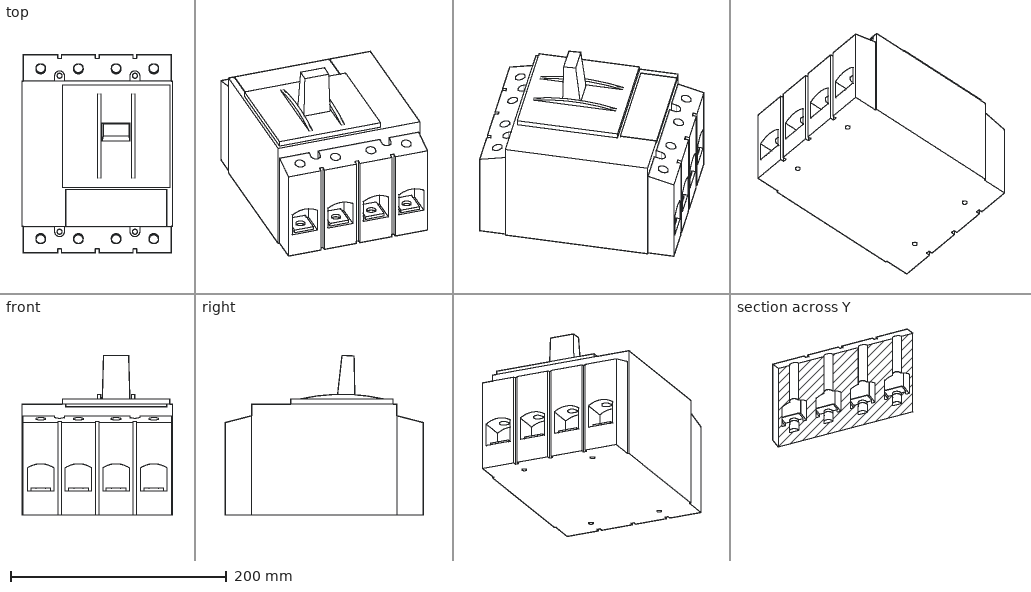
import cadquery as cq


case_width = 140.0
case_depth = 134.7
case_height = 103.0
overall_depth = 184.0
block_width = 137.3
block_inner_height = 92.2
block_outer_height = 86.0
block_ledge = 0.5

pole_count = 4
pole_pitch = 35.0
pole_centers = [(i - (pole_count - 1) / 2) * pole_pitch for i in range(pole_count)]
pole_boundaries = [(i - pole_count / 2) * pole_pitch for i in range(1, pole_count)]

slot_width = 3.3
slot_depth = 3.7

chamber_width = 24.7
chamber_floor = 22.5
chamber_spring = 43.8
chamber_crown = 47.7
chamber_depth = (overall_depth - case_depth) / 2
pad_width = 18.4
pad_height = 2.8
pad_inset = 2.8
pad_hole_diameter = 8.5
pad_hole_y = 79.5
pad_well_diameter = 9.0
pad_well_depth = 9.2

access_hole_diameter = 9.0
access_hole_y = 78.5

mount_recess_width = 9.0
mount_recess_floor = 73.6
mount_hole_diameter = 4.5
mount_y = 72.3
mount_boundaries = [pole_boundaries[0], pole_boundaries[-1]]

front_center_x = 17.5
cover_width = 99.7
cover_back_y = 63.8
cover_front_y = -31.1
cover_depth = cover_back_y - cover_front_y
cover_center_y = (cover_back_y + cover_front_y) / 2
cover_thickness = 4.8
cover_top = case_height + cover_thickness
rib_length = 78.0
rib_height = 4.5
rib_thickness = 3.3
rib_outer_span = 35.0
rib_offset = (rib_outer_span - rib_thickness) / 2

pocket_width = 94.2
pocket_back_y = -33.1
pocket_drop = 2.5
trip_clearance = 0.5
trip_width = pocket_width - 2 * trip_clearance
trip_thickness = pocket_drop - trip_clearance
pocket_length = pocket_back_y + case_depth / 2
pocket_center_y = pocket_back_y - pocket_length / 2

lever_top = 148.3
lever_top_back = 147.8
lever_base_width = 25.8
lever_top_width = 23.5
lever_base_back_y = 28.5
lever_base_front_y = 11.8
lever_top_back_y = 27.8
lever_top_front_y = 16.4


def box_on(width, depth, height, x, y, z):
    """Box centred on (x, y) with its bottom at z."""
    return cq.Workplane("XY").box(width, depth, height, centered=(True, True, False)).translate((x, y, z))


def cylinder_on(diameter, height, x, y, z):
    """Upright cylinder centred on (x, y) with its bottom at z."""
    return cq.Workplane("XY").circle(diameter / 2).extrude(height).translate((x, y, z))


def make_cable_chamber(x):
    """Cable chamber at the +Y end: an arched cavity around its floor pad."""
    half_width = chamber_width / 2
    cavity = (
        cq.Workplane("XZ", origin=(x, overall_depth / 2, 0))
        .moveTo(-half_width, chamber_floor)
        .lineTo(half_width, chamber_floor)
        .lineTo(half_width, chamber_spring)
        .threePointArc((0, chamber_crown), (-half_width, chamber_spring))
        .close()
        .extrude(chamber_depth)
    )
    pad_length = chamber_depth - pad_inset
    pad_y = overall_depth / 2 - pad_inset - pad_length / 2
    pad = box_on(pad_width, pad_length, pad_height, x, pad_y, chamber_floor)
    return cavity.cut(pad)


def make_terminal_cutter():
    """Everything removed from the terminal block at the +Y end."""
    cutter = cq.Workplane("XY")
    for x in pole_centers:
        cutter = cutter.add(make_cable_chamber(x))
        access_height = case_height - chamber_spring
        cutter = cutter.add(
            cylinder_on(access_hole_diameter, access_height, x, access_hole_y, chamber_spring)
        )
        cutter = cutter.add(cylinder_on(pad_hole_diameter, pad_height, x, pad_hole_y, chamber_floor))
        well_bottom = chamber_floor - pad_well_depth
        cutter = cutter.add(cylinder_on(pad_well_diameter, pad_well_depth, x, pad_hole_y, well_bottom))
    for x in pole_boundaries:
        slot_y = overall_depth / 2 - slot_depth / 2
        cutter = cutter.add(box_on(slot_width, slot_depth, case_height, x, slot_y, 0))
    for x in mount_boundaries:
        recess_height = case_height - mount_recess_floor
        recess_length = mount_y - case_depth / 2
        recess_y = mount_y - recess_length / 2
        cutter = cutter.add(
            box_on(mount_recess_width, recess_length, recess_height, x, recess_y, mount_recess_floor)
        )
        cutter = cutter.add(
            cylinder_on(mount_recess_width, recess_height, x, mount_y, mount_recess_floor)
            .cut(box_on(case_width, case_depth, case_height, 0, 0, 0))
        )
        cutter = cutter.add(cylinder_on(mount_hole_diameter, case_height, x, mount_y, 0))
    return cutter.combine()


def make_housing():
    half_depth = overall_depth / 2
    half_ledge_span = case_depth / 2 + block_ledge
    blocks = (
        cq.Workplane("YZ")
        .polyline([
            (-half_depth, 0),
            (half_depth, 0),
            (half_depth, block_outer_height),
            (half_ledge_span, block_inner_height),
            (-half_ledge_span, block_inner_height),
            (-half_depth, block_outer_height),
        ])
        .close()
        .extrude(block_width / 2, both=True)
    )
    housing = blocks.union(box_on(case_width, case_depth, case_height, 0, 0, 0))
    terminal_cutter = make_terminal_cutter()
    housing = housing.cut(terminal_cutter).cut(terminal_cutter.mirror("XZ"))
    pocket = box_on(
        pocket_width, pocket_length, pocket_drop,
        front_center_x, pocket_center_y, case_height - pocket_drop,
    )
    return housing.cut(pocket)


def make_rib(x):
    """Arched rib along Y on top of the cover plate."""
    half_length = rib_length / 2
    return (
        cq.Workplane("YZ", origin=(x, cover_center_y, cover_top))
        .moveTo(-half_length, 0)
        .threePointArc((0, rib_height), (half_length, 0))
        .close()
        .extrude(rib_thickness / 2, both=True)
    )


def make_cover():
    cover = box_on(cover_width, cover_depth, cover_thickness, front_center_x, cover_center_y, case_height)
    for side in (-1, 1):
        cover = cover.union(make_rib(front_center_x + side * rib_offset))
    return cover


def make_trip_unit():
    return box_on(
        trip_width, pocket_length, trip_thickness,
        front_center_x, pocket_center_y, case_height - trip_thickness,
    )


def make_lever():
    """Intersection of the side profile and the front profile."""
    side_profile = (
        cq.Workplane("YZ", origin=(front_center_x, 0, 0))
        .polyline([
            (lever_base_front_y, cover_top),
            (lever_base_back_y, cover_top),
            (lever_top_back_y, lever_top_back),
            (lever_top_front_y, lever_top),
        ])
        .close()
        .extrude(lever_base_width / 2, both=True)
    )
    front_profile = (
        cq.Workplane("XZ", origin=(front_center_x, 0, 0))
        .polyline([
            (-lever_base_width / 2, cover_top),
            (lever_base_width / 2, cover_top),
            (lever_top_width / 2, lever_top),
            (-lever_top_width / 2, lever_top),
        ])
        .close()
        .extrude(-lever_base_back_y)
    )
    return side_profile.intersect(front_profile)


housing = make_housing()
cover = make_cover()
trip_unit = make_trip_unit()
lever = make_lever()

result = cq.Compound.makeCompound([housing.val(), cover.val(), trip_unit.val(), lever.val()])